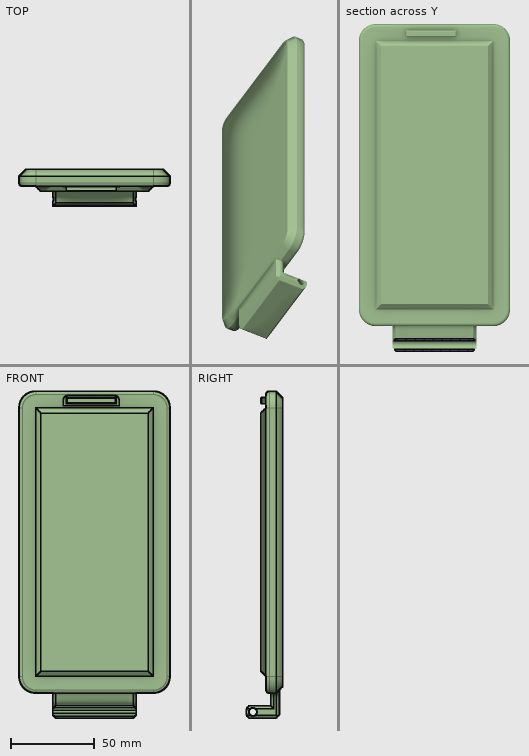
import cadquery as cq

plate_width = 90.0
plate_height = 180.0
plate_depth = 10.1
corner_radius = 10.0
back_chamfer = 4.0
front_fillet = 2.0

screen_margin = 10.0
screen_slope = 3.1
screen_width = plate_width - 2 * screen_margin
screen_height = plate_height - 2 * screen_margin

earpiece_x = -2.0
skirt_width = 33.3
skirt_height = 6.0
skirt_top_gap = 2.5
skirt_depth = 0.2
skirt_corner = 3.0
bar_width = 30.0
bar_height = 3.9
bar_chamfer = 0.5
bar_drop = 5.7
bar_z = plate_height / 2 - bar_drop

overall_height = 195
overall_depth = 22.0
stand_width = 50.0
stand_back = 2.0
arm_thickness = 5.5
foot_thickness = 7.6
stand_overlap = 5.8
end_chamfer = 2.0
heel_chamfer = 2.3
lip_chamfer = 1.4
lip_flat = 1.8
lip_relief = 0.5
hole_diameter = 4.7
hole_from_front = 4.0
foot_bottom = plate_height / 2 - overall_height


def front_sketch(depth):
    """Workplane facing -Y, set at the given depth in front of the back face."""
    return cq.Workplane("XZ", origin=(0, -depth, 0))


def make_plate():
    plate = front_sketch(0).rect(plate_width, plate_height).extrude(plate_depth)
    plate = plate.edges("|Y").fillet(corner_radius)
    plate = plate.faces(">Y").edges().chamfer(back_chamfer)
    return plate.faces("<Y").edges().fillet(front_fillet)


def make_screen():
    screen = front_sketch(plate_depth).rect(screen_width, screen_height)
    return screen.extrude(screen_slope, taper=45)


def make_earpiece():
    skirt_z = plate_height / 2 - skirt_top_gap - skirt_height / 2
    skirt = front_sketch(plate_depth).center(earpiece_x, skirt_z)
    skirt = skirt.rect(skirt_width, skirt_height).extrude(skirt_depth)
    skirt = skirt.edges("|Y and >Z").fillet(skirt_corner)
    bar = front_sketch(plate_depth).center(earpiece_x, bar_z)
    bar = bar.rect(bar_width, bar_height).extrude(screen_slope)
    bar = bar.faces("<Y").edges().chamfer(bar_chamfer)
    return skirt.union(bar)


def extrude_across(points):
    """Side profile given as (Y, Z) points, extruded over the width of the stand."""
    return cq.Workplane("YZ").polyline(points).close().extrude(stand_width / 2, both=True)


def make_stand():
    arm_top = -plate_height / 2 + stand_overlap
    arm_front = -stand_back - arm_thickness
    foot_top = foot_bottom + foot_thickness
    foot_middle = foot_bottom + foot_thickness / 2
    nose_low = foot_middle - lip_flat / 2
    nose_high = foot_middle + lip_flat / 2
    lip_y = -overall_depth + lip_relief

    blank = extrude_across([
        (-stand_back, arm_top),
        (-stand_back, foot_bottom),
        (-overall_depth, foot_bottom),
        (-overall_depth, foot_top),
        (arm_front, foot_top),
        (arm_front, arm_top),
    ])
    stand = blank.faces("<X or >X").edges("not(<Y or >Z)").chamfer(end_chamfer)

    envelope = extrude_across([
        (-stand_back, arm_top),
        (-stand_back, foot_bottom + heel_chamfer),
        (-stand_back - heel_chamfer, foot_bottom),
        (lip_y + lip_chamfer, foot_bottom),
        (lip_y, foot_bottom + lip_chamfer),
        (-overall_depth, nose_low),
        (-overall_depth, nose_high),
        (lip_y, foot_top - lip_chamfer),
        (lip_y + lip_chamfer, foot_top),
        (arm_front, foot_top),
        (arm_front, arm_top),
    ])
    stand = stand.intersect(envelope)

    hole_y = -overall_depth + hole_from_front
    hole = cq.Workplane("YZ").center(hole_y, foot_middle).circle(hole_diameter / 2)
    return stand.cut(hole.extrude(stand_width, both=True))


result = make_plate().union(make_screen()).union(make_earpiece()).union(make_stand())